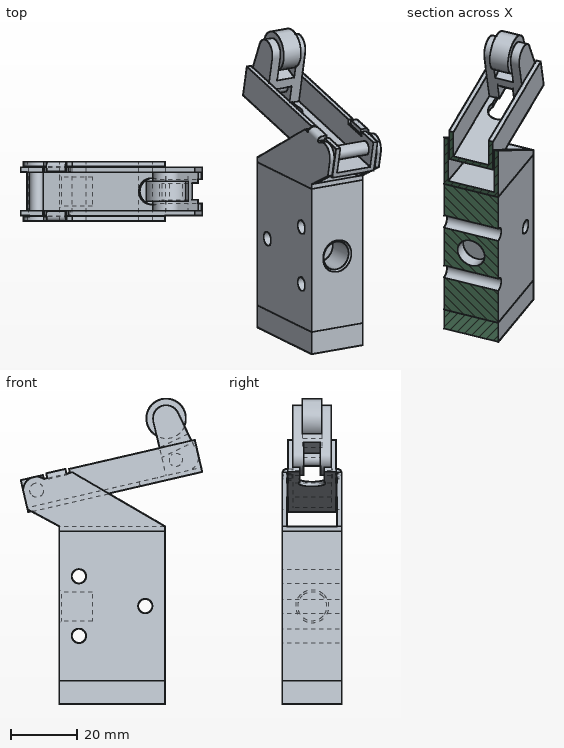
import cadquery as cq
import math

TOTAL_HEIGHT = 92.3

BODY_LENGTH = 32.0
BODY_WIDTH = 18.0
CAP_HEIGHT = 7.0
BODY_TOP = 52.3
HOLE_DIAMETER = 4.25
HOLE_INSET = 6.0
HOLE_MIDDLE_Z = 29.6
HOLE_SPACING_Z = 18.0
PORT_DIAMETER = 8.8
PORT_MOUTH_DIAMETER = 10.0
PORT_DEPTH = 10.0

PIVOT_X = -6.8
PIVOT_Z = 64.7
LEVER_TILT = 13.0
PIN_DIAMETER = 4.25

SHEET = 1.5
BRACKET_NOSE_RADIUS = 4.0
BRACKET_EDGE_V = 2.8
BRACKET_EDGE_END_U = 11.7
BRACKET_CORNER_V = -5.1
TAB_START_U = 4.0
TAB_LENGTH = 6.0
TAB_REACH = 3.0

LEVER_GAP = 0.23
LEVER_LENGTH = 54.0
LEVER_HEIGHT = 10.0
NOTCH_CLEARANCE = 1.0
NOTCH_FLOOR_GAP = 0.3
KEYHOLE_DIAMETER = 8.0
KEYHOLE_U = 34.7
KEYHOLE_SLOT_WIDTH = 7.3

ROLLER_U = 43.0
ROLLER_DIAMETER = 12.0
ROLLER_WIDTH = 6.0
ARM_ROUND_RADIUS = 4.0
ARM_BACK_TILT = 12.8
ARM_WEB_V = 4.2
ARM_WEB_THICKNESS = 3.0
ARM_NOTCH_WIDTH = 5.0
ARM_PIN_DIAMETER = 4.0
ARM_PIN_V = -0.6

BRACKET_INNER_WIDTH = BODY_WIDTH - 2 * SHEET
BRACKET_FLOOR_TOP = BODY_TOP + SHEET
LEVER_WIDTH = BRACKET_INNER_WIDTH - 2 * LEVER_GAP
LEVER_INNER_WIDTH = LEVER_WIDTH - 2 * SHEET
LEVER_START_U = -BRACKET_NOSE_RADIUS
LEVER_TOP_V = BRACKET_NOSE_RADIUS
LEVER_BOTTOM_V = LEVER_TOP_V - LEVER_HEIGHT
LEVER_FLOOR_V = LEVER_BOTTOM_V + SHEET
ARM_FRONT_U = ROLLER_U - ARM_ROUND_RADIUS
MORE_THAN_ENOUGH = 2 * LEVER_LENGTH

COS_TILT = math.cos(math.radians(LEVER_TILT))
SIN_TILT = math.sin(math.radians(LEVER_TILT))
ROLLER_Z = TOTAL_HEIGHT - ROLLER_DIAMETER / 2
ROLLER_V = (ROLLER_Z - PIVOT_Z - ROLLER_U * SIN_TILT) / COS_TILT
LEVER_PLANE = cq.Plane(
    origin=(PIVOT_X, 0, PIVOT_Z), xDir=(COS_TILT, 0, SIN_TILT), normal=(0, -1, 0)
)


def in_lever_frame(width=0.0):
    """Workplane with local axes u and v, from which an extrusion by width is centred on Y = 0."""
    return cq.Workplane(LEVER_PLANE).workplane(offset=-width / 2)


def to_lever_frame(x, z):
    """Lever-frame (u, v) of a point given by X and Z."""
    dx = x - PIVOT_X
    dz = z - PIVOT_Z
    return (dx * COS_TILT + dz * SIN_TILT, dz * COS_TILT - dx * SIN_TILT)


def lever_block(u_start, u_end, v_start, v_end, width):
    """Block aligned with the lever, centred on mid width."""
    return (
        in_lever_frame(width)
        .center((u_start + u_end) / 2, (v_start + v_end) / 2)
        .rect(u_end - u_start, v_end - v_start)
        .extrude(width)
    )


def cross_cylinder(u, v, diameter, width):
    """Cylinder along Y, centred on mid width."""
    return in_lever_frame(width).center(u, v).circle(diameter / 2).extrude(width)


def body_block(z_bottom, z_top):
    """Rectangular block with the footprint of the valve body."""
    return (
        cq.Workplane("XY", origin=(0, 0, z_bottom))
        .rect(BODY_LENGTH, BODY_WIDTH)
        .extrude(z_top - z_bottom)
        .translate((BODY_LENGTH / 2, 0, 0))
    )


def make_end_cap():
    return body_block(0, CAP_HEIGHT)


def make_valve_body():
    body = body_block(CAP_HEIGHT, BODY_TOP)
    hole_centres = [
        (HOLE_INSET, HOLE_MIDDLE_Z - HOLE_SPACING_Z / 2),
        (HOLE_INSET, HOLE_MIDDLE_Z + HOLE_SPACING_Z / 2),
        (BODY_LENGTH - HOLE_INSET, HOLE_MIDDLE_Z),
    ]
    mounting_holes = (
        cq.Workplane("XZ")
        .pushPoints(hole_centres)
        .circle(HOLE_DIAMETER / 2)
        .extrude(BODY_WIDTH, both=True)
    )
    radius = PORT_DIAMETER / 2
    mouth_radius = PORT_MOUTH_DIAMETER / 2
    port = (
        cq.Workplane("XY", origin=(0, 0, HOLE_MIDDLE_Z))
        .polyline([
            (0, 0), (0, mouth_radius), (mouth_radius - radius, radius),
            (PORT_DEPTH, radius), (PORT_DEPTH, 0),
        ])
        .close()
        .revolve(360, (0, 0, 0), (1, 0, 0))
    )
    return body.cut(mounting_holes).cut(port)


def make_tab(side):
    """Tab folded inward over the lever from the bracket side at +Y (1) or -Y (-1)."""
    tab_top = BRACKET_EDGE_V + SHEET
    outer = BODY_WIDTH / 2
    bend = SHEET
    bend_middle = bend * (1 - math.sqrt(0.5))
    profile_plane = cq.Plane(
        origin=LEVER_PLANE.toWorldCoords((TAB_START_U, 0, 0)),
        xDir=(0, side, 0),
        normal=(side * COS_TILT, 0, side * SIN_TILT),
    )
    return (
        cq.Workplane(profile_plane)
        .moveTo(outer - TAB_REACH, BRACKET_EDGE_V)
        .lineTo(outer - TAB_REACH, tab_top)
        .lineTo(outer - bend, tab_top)
        .threePointArc((outer - bend_middle, tab_top - bend_middle), (outer, BRACKET_EDGE_V))
        .close()
        .extrude(side * TAB_LENGTH)
    )


def make_bracket():
    """Channel on top of the body whose two sides carry the lever pivot."""
    radius = BRACKET_NOSE_RADIUS
    nose_end = (math.sqrt(radius**2 - BRACKET_EDGE_V**2), BRACKET_EDGE_V)
    nose_middle = (-radius * math.sqrt(0.5), radius * math.sqrt(0.5))
    bracket = (
        in_lever_frame(BODY_WIDTH)
        .moveTo(*to_lever_frame(0, BODY_TOP))
        .lineTo(*to_lever_frame(0, BRACKET_FLOOR_TOP))
        .lineTo(-radius, BRACKET_CORNER_V)
        .lineTo(-radius, 0)
        .threePointArc(nose_middle, nose_end)
        .lineTo(BRACKET_EDGE_END_U, BRACKET_EDGE_V)
        .lineTo(*to_lever_frame(BODY_LENGTH, BRACKET_FLOOR_TOP))
        .lineTo(*to_lever_frame(BODY_LENGTH, BODY_TOP))
        .close()
        .extrude(BODY_WIDTH)
    )
    channel = cq.Workplane("XY", origin=(0, 0, BRACKET_FLOOR_TOP)).rect(
        MORE_THAN_ENOUGH, BRACKET_INNER_WIDTH
    ).extrude(MORE_THAN_ENOUGH)
    bracket = bracket.cut(channel)
    for side in (-1, 1):
        bracket = bracket.union(make_tab(side))
    return bracket


def make_lever():
    """Tilted channel, open upward, with tab notches and a keyhole slot in its floor."""
    end_u = LEVER_START_U + LEVER_LENGTH
    lever = lever_block(LEVER_START_U, end_u, LEVER_BOTTOM_V, LEVER_TOP_V, LEVER_WIDTH)
    inside = lever_block(LEVER_START_U, end_u, LEVER_FLOOR_V, LEVER_TOP_V, LEVER_INNER_WIDTH)
    tab_notches = lever_block(
        TAB_START_U - NOTCH_CLEARANCE,
        TAB_START_U + TAB_LENGTH + NOTCH_CLEARANCE,
        BRACKET_EDGE_V - NOTCH_FLOOR_GAP,
        LEVER_TOP_V,
        LEVER_WIDTH,
    )
    slot = lever_block(KEYHOLE_U, end_u, LEVER_BOTTOM_V, LEVER_FLOOR_V, KEYHOLE_SLOT_WIDTH)
    keyhole = (
        in_lever_frame()
        .transformed(rotate=(-90, 0, 0), offset=(KEYHOLE_U, LEVER_BOTTOM_V, 0))
        .circle(KEYHOLE_DIAMETER / 2)
        .extrude(SHEET)
    )
    return lever.cut(inside).cut(tab_notches).cut(slot).cut(keyhole)


def make_roller_arm():
    """Arm in the lever channel, forked for the roller and notched over the arm pin."""
    radius = ARM_ROUND_RADIUS

    def on_round(centre, degrees):
        angle = math.radians(degrees)
        return (centre[0] + radius * math.cos(angle), centre[1] + radius * math.sin(angle))

    head = (ROLLER_U, ROLLER_V)
    heel_v = LEVER_FLOOR_V + radius
    heel = (ROLLER_U + (ROLLER_V - heel_v) * math.tan(math.radians(ARM_BACK_TILT)), heel_v)
    arm = (
        in_lever_frame(LEVER_INNER_WIDTH)
        .moveTo(ARM_FRONT_U, LEVER_FLOOR_V)
        .lineTo(ARM_FRONT_U, ROLLER_V)
        .threePointArc(on_round(head, 90), on_round(head, ARM_BACK_TILT))
        .lineTo(*on_round(heel, ARM_BACK_TILT))
        .threePointArc(on_round(heel, -45), on_round(heel, -90))
        .close()
        .extrude(LEVER_INNER_WIDTH)
    )
    web_frame = in_lever_frame().transformed(
        rotate=(0, 0, ARM_BACK_TILT), offset=(ARM_FRONT_U, ARM_WEB_V, 0)
    )
    fork_slot = (
        web_frame.rect(MORE_THAN_ENOUGH, MORE_THAN_ENOUGH)
        .extrude(ROLLER_WIDTH / 2, both=True)
        .translate(web_frame.plane.yDir * (MORE_THAN_ENOUGH / 2))
    )
    lower_notch = (
        web_frame.rect(MORE_THAN_ENOUGH, MORE_THAN_ENOUGH)
        .extrude(ARM_NOTCH_WIDTH / 2, both=True)
        .translate(web_frame.plane.yDir * (-MORE_THAN_ENOUGH / 2 - ARM_WEB_THICKNESS))
    )
    return arm.cut(fork_slot).cut(lower_notch)


def make_lever_head():
    """Bracket, lever, roller arm, roller and their pins, joined into one solid."""
    pivot_pin = cross_cylinder(0, 0, PIN_DIAMETER, BODY_WIDTH)
    arm_pin = cross_cylinder(ROLLER_U, ARM_PIN_V, ARM_PIN_DIAMETER, LEVER_INNER_WIDTH)
    roller = cross_cylinder(ROLLER_U, ROLLER_V, ROLLER_DIAMETER, ROLLER_WIDTH)
    head = make_bracket()
    for piece in (pivot_pin, make_lever(), make_roller_arm(), arm_pin, roller):
        head = head.union(piece)
    return head


end_cap = make_end_cap()
valve_body = make_valve_body()
lever_head = make_lever_head()

result = cq.Compound.makeCompound([end_cap.val(), valve_body.val(), *lever_head.vals()])